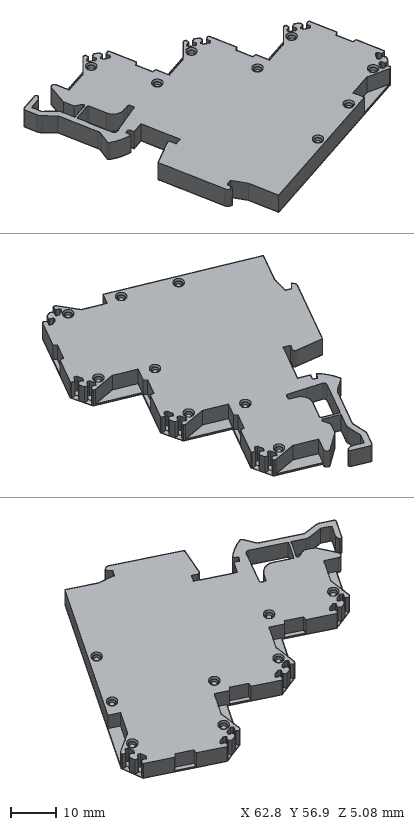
import cadquery as cq
import math

LENGTH = 62.8
HEIGHT = 56.85
THICKNESS = 5.08
WEB = 0.5

TIER_COUNT = 3
TIER_STEP_X = 16.52
TIER_STEP_Y = 15.4
FIRST_TIER_X = 2.65
FIRST_TIER_TOP = HEIGHT - (TIER_COUNT - 1) * TIER_STEP_Y
SHELF_Y = FIRST_TIER_TOP - TIER_STEP_Y
TIER_CHAMFER = 4.0
LAST_TIER_X = FIRST_TIER_X + (TIER_COUNT - 1) * TIER_STEP_X

ENTRY_DEPTH = 2.9
ENTRY_START = 4.5
ENTRY_BEND = 9.4

SLOT_OFFSET = 1.58
MOUTH_HALF = 0.9
NECK_HALF = 0.45
NECK_START = 0.65
NECK_DEPTH = 0.87
POCKET_HALF = 1.1
POCKET_BACK_HALF = 0.7
POCKET_SIDE = 0.25
POCKET_WIDEST_DEPTH = NECK_DEPTH + POCKET_HALF - NECK_HALF
POCKET_BACK_DEPTH = POCKET_WIDEST_DEPTH + POCKET_SIDE
POCKET_DEPTH = POCKET_BACK_DEPTH + POCKET_HALF - POCKET_BACK_HALF
MOUTH_FLOOR = 0.05

NOTCH_CENTER = 13.5
NOTCH_TOP_WIDTH = 4.9
NOTCH_BOTTOM_WIDTH = 4.3
NOTCH_DEPTH = 0.93

SOCKET_RADIUS = 1.25
SOCKET_LEDGE_OUTER = 0.95
SOCKET_LEDGE_INNER = 0.85
SOCKET_FLOOR_RADIUS = 0.6
SOCKET_LEDGE_DEPTH = 0.5
SOCKET_DEPTH = 1.0
CORNER_SOCKET = (3.15, 6.25)
INNER_SOCKET = (18.45, 3.6)
EDGE_SOCKET_INSET = 1.9
EDGE_SOCKET_SPACING = 13.35

ARM_TOP = 3.57
ARM_BOTTOM = 2.06
RIB_LEFT = 11.12
RIB_RIGHT = 11.7
LEG_RIGHT = 24.8
RAIL_TOP = 9.06
RIGHT_BOTTOM = 4.19
HOOK_ROOT_X = 51.2
RAIL_RIGHT = 34.78
RAIL_LEDGE = 7.33
LATCH_ROOT_X = 23.4
LATCH_GROOVE_TOP = 6.05
POST_WIDTH = 1.3
POST_TOP = 5.49
POST_FLOOR = 1.51
LOBE_BOTTOM = 6.62
WINDOW_CEILING = 8.28
WINDOW_SLOT_X = 19.28
WINDOW_SLOT_TOP = 13.05


def rounded_wire(corners):
    """Closed wire through (x, y, radius) corners; a zero radius keeps the corner sharp."""
    spans = []
    for i, (x, y, radius) in enumerate(corners):
        before = corners[i - 1]
        after = corners[(i + 1) % len(corners)]
        corner = cq.Vector(x, y)
        to_before = (cq.Vector(before[0], before[1]) - corner).normalized()
        to_after = (cq.Vector(after[0], after[1]) - corner).normalized()
        if radius == 0:
            spans.append((corner, None, corner))
            continue
        half_angle = to_before.getAngle(to_after) / 2
        setback = radius / math.tan(half_angle)
        bisector = (to_before + to_after).normalized()
        middle = corner + bisector * (radius / math.sin(half_angle) - radius)
        spans.append((corner + to_before * setback, middle, corner + to_after * setback))

    edges = []
    for i, (start, middle, end) in enumerate(spans):
        if middle is not None:
            edges.append(cq.Edge.makeThreePointArc(start, middle, end))
        edges.append(cq.Edge.makeLine(end, spans[(i + 1) % len(spans)][0]))
    return cq.Wire.assembleEdges(edges)


def prism(corners, bottom, top):
    """Upright prism over (x, y, radius) corners."""
    wire = rounded_wire(corners)
    solid = cq.Solid.extrudeLinear(wire, [], cq.Vector(0, 0, top - bottom))
    return cq.Workplane(solid).translate((0, 0, bottom))


def sharp(points):
    """Corners without rounding."""
    return [(x, y, 0) for x, y in points]


def tier_corner(tier):
    """X of the left wall and Y of the top edge of a tier."""
    return FIRST_TIER_X + tier * TIER_STEP_X, FIRST_TIER_TOP + tier * TIER_STEP_Y


def mirror_right(shape):
    """Copy of a left hand feature of the last tier on its right hand side."""
    middle = (LAST_TIER_X + LENGTH) / 2
    return shape.mirror("YZ", (middle, 0, 0))


def body():
    outline = []
    for tier in range(TIER_COUNT):
        left, top = tier_corner(tier)
        outline += sharp([
            (left, top - TIER_STEP_Y),
            (left, top - TIER_CHAMFER),
            (left + TIER_CHAMFER, top),
        ])
    outline += sharp([(LENGTH - TIER_CHAMFER, HEIGHT), (LENGTH, HEIGHT - TIER_CHAMFER)])
    outline += [
        (LENGTH, RIGHT_BOTTOM, 0),
        (55.05, RIGHT_BOTTOM, 0),
        (HOOK_ROOT_X, 3.04, 0),
        (HOOK_ROOT_X, 1.62, 0),
        (52.8, 1.04, 0),
        (52.3, 0, 1.1),
        (34.45, 0, 0),
        (32.75, RAIL_LEDGE, 0.5),
        (RAIL_RIGHT, RAIL_LEDGE, 0),
        (RAIL_RIGHT, RAIL_TOP, 0),
        (LEG_RIGHT, RAIL_TOP, 0),
        (LEG_RIGHT, LATCH_GROOVE_TOP, 0),
        (LATCH_ROOT_X, LATCH_GROOVE_TOP, 0.3),
        (LATCH_ROOT_X, 4.88, 0),
        (LEG_RIGHT, 4.73, 0),
    ]
    outline += [
        (23.9, 2.15, 11.3),
        (21.65, 0, 0.45),
        (18.4, ARM_BOTTOM, 1.7),
        (7.72, ARM_BOTTOM, 0.7),
        (4.15, 0, 2.2),
        (0, 0, 0.5),
        (0, POST_TOP, 0.4),
        (0.65, POST_TOP, 0),
        (POST_WIDTH, 4.6, 0),
        (POST_WIDTH, POST_FLOOR, 0.4),
        (3.84, POST_FLOOR, 0),
        (7.3, ARM_TOP, 1.5),
        (RIB_LEFT, ARM_TOP, 0),
        (RIB_LEFT, 8.7, 0.4),
        (9.08, LOBE_BOTTOM, 0),
        (6.39, LOBE_BOTTOM, 0),
        (-0.6, SHELF_Y, 0.75),
    ]
    return prism(outline, 0, THICKNESS)


def spring_window():
    return prism([
        (RIB_RIGHT, ARM_TOP, 0.3),
        (21.6, ARM_TOP, 0.8),
        (20.75, WINDOW_SLOT_TOP, 0.3),
        (WINDOW_SLOT_X, WINDOW_SLOT_TOP, 0.4),
        (WINDOW_SLOT_X, WINDOW_CEILING, 2.8),
        (RIB_RIGHT, WINDOW_CEILING, 0.3),
    ], 0, THICKNESS)


def entry_recess(left, top):
    return prism(sharp([
        (left, top - ENTRY_START),
        (left + ENTRY_DEPTH, top - ENTRY_BEND),
        (left + ENTRY_DEPTH, top - TIER_STEP_Y),
        (left, top - TIER_STEP_Y),
    ]), WEB, THICKNESS)


def marker_slot():
    """Slot at the origin entering along +X, with a neck floor that climbs inward."""
    pocket = prism(sharp([
        (NECK_DEPTH, NECK_HALF),
        (POCKET_WIDEST_DEPTH, POCKET_HALF),
        (POCKET_BACK_DEPTH, POCKET_HALF),
        (POCKET_DEPTH, POCKET_BACK_HALF),
        (POCKET_DEPTH, -POCKET_BACK_HALF),
        (POCKET_BACK_DEPTH, -POCKET_HALF),
        (POCKET_WIDEST_DEPTH, -POCKET_HALF),
        (NECK_DEPTH, -NECK_HALF),
    ]), WEB, THICKNESS)
    neck = prism(sharp([
        (0, MOUTH_HALF),
        (NECK_START, NECK_HALF),
        (NECK_DEPTH, NECK_HALF),
        (NECK_DEPTH, -NECK_HALF),
        (NECK_START, -NECK_HALF),
        (0, -MOUTH_HALF),
    ]), 0, THICKNESS)
    neck_side = (
        cq.Workplane("XZ")
        .polyline([(0, MOUTH_FLOOR), (NECK_DEPTH, WEB), (NECK_DEPTH, THICKNESS), (0, THICKNESS)])
        .close()
        .extrude(MOUTH_HALF, both=True)
    )
    return pocket.union(neck.intersect(neck_side))


def marker_slots(left, top):
    """The two slots of the left chamfer of a tier."""
    slots = cq.Workplane()
    for along in (-SLOT_OFFSET, SLOT_OFFSET):
        slot = marker_slot().translate((0, along, 0)).rotate((0, 0, 0), (0, 0, 1), -45)
        slots = slots.add(slot.translate((left + TIER_CHAMFER / 2, top - TIER_CHAMFER / 2, 0)))
    return slots.combine()


def edge_notch(left, top):
    center = left + NOTCH_CENTER
    return prism(sharp([
        (center - NOTCH_TOP_WIDTH / 2, top),
        (center + NOTCH_TOP_WIDTH / 2, top),
        (center + NOTCH_BOTTOM_WIDTH / 2, top - NOTCH_DEPTH),
        (center - NOTCH_BOTTOM_WIDTH / 2, top - NOTCH_DEPTH),
    ]), WEB, THICKNESS)


def socket(x, y):
    profile = [
        (0, THICKNESS),
        (SOCKET_RADIUS, THICKNESS),
        (SOCKET_LEDGE_OUTER, THICKNESS - SOCKET_LEDGE_DEPTH),
        (SOCKET_LEDGE_INNER, THICKNESS - SOCKET_LEDGE_DEPTH),
        (SOCKET_FLOOR_RADIUS, THICKNESS - SOCKET_DEPTH),
        (0, THICKNESS - SOCKET_DEPTH),
    ]
    turned = cq.Workplane("XZ").polyline(profile).close().revolve(360, (0, 0), (0, 1))
    return turned.translate((x, y, 0))


def socket_centers():
    centers = []
    for tier in range(TIER_COUNT):
        left, top = tier_corner(tier)
        centers.append((left + CORNER_SOCKET[0], top - CORNER_SOCKET[1]))
        if tier < TIER_COUNT - 1:
            centers.append((left + INNER_SOCKET[0], top - INNER_SOCKET[1]))
    centers.append((LENGTH - CORNER_SOCKET[0], HEIGHT - CORNER_SOCKET[1]))
    upper_edge_y = HEIGHT - TIER_STEP_Y - INNER_SOCKET[1]
    for y in (upper_edge_y, upper_edge_y - EDGE_SOCKET_SPACING):
        centers.append((LENGTH - EDGE_SOCKET_INSET, y))
    return centers


result = body().cut(spring_window())

for tier in range(TIER_COUNT):
    left, top = tier_corner(tier)
    for feature in (entry_recess, marker_slots, edge_notch):
        result = result.cut(feature(left, top))

for feature in (entry_recess, marker_slots):
    result = result.cut(mirror_right(feature(LAST_TIER_X, HEIGHT)))

for x, y in socket_centers():
    result = result.cut(socket(x, y))